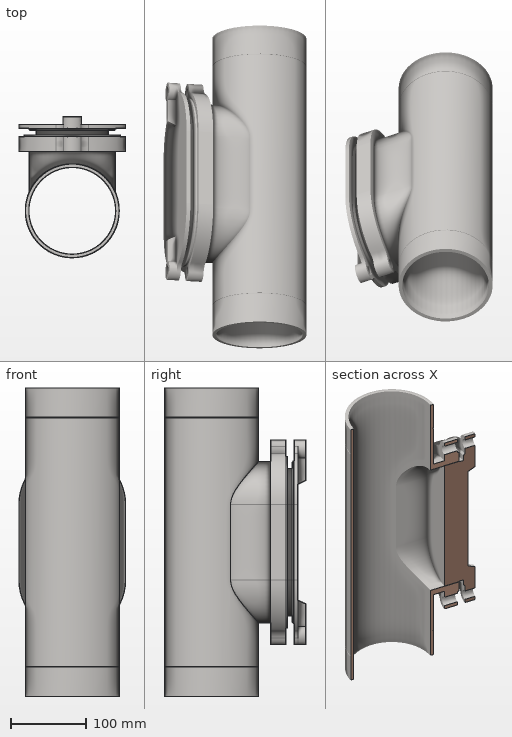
import cadquery as cq

pipe_length = 410.0
pipe_radius = 62.5
pipe_wall = 5.0
bore_radius = pipe_radius - pipe_wall
spigot_length = 40.0
groove_width = 1.0
groove_depth = 0.5

straight_length = 100.0
end_centre_z = straight_length / 2
neck_radius = 57.2
flange_radius = 71.0
seat_radius = 64.0
seat_height = 2.5
opening_radius = 48.0
lid_thickness = 5.2
lid_step_radius = 58.0
lid_step_height = 2.6
lid_step_chamfer = 2.0

flange_back_y = 78.5
flange_thickness = 20.0
flange_front_y = flange_back_y + flange_thickness
seat_front_y = flange_front_y + seat_height
lid_front_y = 114.7
lid_back_y = lid_front_y - lid_thickness
lid_step_back_y = lid_back_y - lid_step_height
boss_front_y = 125.22

lug_radius = 12.5
lug_tip_z = 136.0
lug_centre_z = lug_tip_z - lug_radius
lug_fillet = 15.0
bolt_hole_radius = 6.5

rib_width = 8.0
rib_end_z_front = 82.0
rib_end_z_lid = 77.0

end_signs = (1, -1)


def facing_plate(y):
    """Work plane at the given Y, with its normal toward +Y and its vertical along Z."""
    return cq.Workplane(cq.Plane(origin=(0, y, 0), xDir=(-1, 0, 0), normal=(0, 1, 0)))


def obround(radius, y_start, y_end):
    """Obround prism along Y with its long side along Z."""
    overall_length = straight_length + 2 * radius
    return facing_plate(y_start).slot2D(overall_length, 2 * radius, 90).extrude(y_end - y_start)


def cylinder(radius, z, y_start, y_end):
    return facing_plate(y_start).center(0, z).circle(radius).extrude(y_end - y_start)


def lugged_plate(y_start, y_end):
    """Obround plate with a rounded lug blended into each end."""
    thickness = y_end - y_start
    plate = obround(flange_radius, y_start, y_end)

    plate_reach = flange_radius + lug_fillet
    lug_reach = lug_radius + lug_fillet
    spacing = lug_centre_z - end_centre_z
    blend_rise = (plate_reach**2 + spacing**2 - lug_reach**2) / (2 * spacing)
    blend_x = (plate_reach**2 - blend_rise**2) ** 0.5
    plate_touch_x = blend_x * flange_radius / plate_reach
    plate_touch_z = end_centre_z + blend_rise * flange_radius / plate_reach
    lug_touch_x = blend_x * lug_radius / lug_reach
    lug_touch_z = lug_centre_z + (end_centre_z + blend_rise - lug_centre_z) * lug_radius / lug_reach

    for sign in end_signs:
        lug = (
            facing_plate(y_start)
            .moveTo(-plate_touch_x, sign * end_centre_z)
            .lineTo(-plate_touch_x, sign * plate_touch_z)
            .radiusArc((-lug_touch_x, sign * lug_touch_z), -sign * lug_fillet)
            .threePointArc((0, sign * lug_tip_z), (lug_touch_x, sign * lug_touch_z))
            .radiusArc((plate_touch_x, sign * plate_touch_z), -sign * lug_fillet)
            .lineTo(plate_touch_x, sign * end_centre_z)
            .close()
            .extrude(thickness)
        )
        plate = plate.union(lug)
    return plate


def make_housing():
    """Pipe with the inspection neck, its lugged flange and raised lid seat."""
    body = cq.Workplane("XY").circle(pipe_radius).extrude(pipe_length / 2, both=True)
    body = body.union(obround(neck_radius, 0, flange_back_y))
    body = body.union(lugged_plate(flange_back_y, flange_front_y))
    body = body.union(obround(seat_radius, flange_front_y, seat_front_y))
    for sign in end_signs:
        body = body.cut(cylinder(bolt_hole_radius, sign * lug_centre_z, flange_back_y, flange_front_y))

    body = body.cut(cq.Workplane("XY").circle(bore_radius).extrude(pipe_length / 2, both=True))
    body = body.cut(obround(opening_radius, 0, seat_front_y))

    groove_z = pipe_length / 2 - spigot_length + groove_width / 2
    for sign in end_signs:
        groove = (
            cq.Workplane("XY", origin=(0, 0, sign * groove_z))
            .circle(pipe_radius)
            .circle(pipe_radius - groove_depth)
            .extrude(groove_width / 2, both=True)
        )
        body = body.cut(groove)
    return body


def make_rib(sign):
    """Flat-sided rib from a bolt boss onto the lid, with a sloped inner end."""
    return (
        cq.Workplane("YZ")
        .moveTo(lid_front_y, sign * lug_centre_z)
        .lineTo(boss_front_y, sign * lug_centre_z)
        .lineTo(boss_front_y, sign * rib_end_z_front)
        .lineTo(lid_front_y, sign * rib_end_z_lid)
        .close()
        .extrude(rib_width / 2, both=True)
    )


def make_lid():
    """Lugged cover plate with a plug filling the opening and a ribbed bored boss at each bolt."""
    step = obround(lid_step_radius, lid_step_back_y, lid_back_y).faces("<Y").chamfer(lid_step_chamfer)
    body = lugged_plate(lid_back_y, lid_front_y).union(step)
    body = body.union(obround(opening_radius, flange_back_y, lid_step_back_y))
    for sign in end_signs:
        body = body.union(cylinder(lug_radius, sign * lug_centre_z, lid_back_y, boss_front_y))
        body = body.union(make_rib(sign))
        body = body.cut(cylinder(bolt_hole_radius, sign * lug_centre_z, lid_back_y, boss_front_y))
    return body


housing = make_housing()
lid = make_lid()

result = cq.Compound.makeCompound([housing.val(), lid.val()])